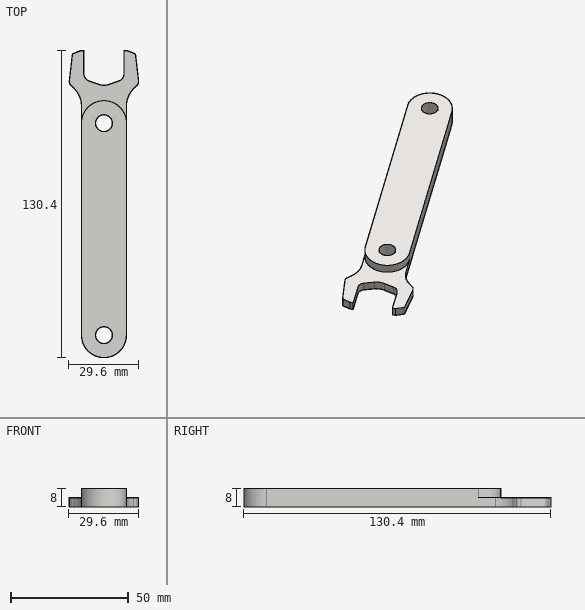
import cadquery as cq
import math

overall_length = 130.4
handle_width = 19.2
handle_radius = handle_width / 2
hole_spacing = 90.0
hole_diameter = 7.0
handle_height = 8.0

head_height = handle_height / 2
tip_y = overall_length - handle_radius
slot_half_width = 8.5
slot_corner_drop = 12.1
slot_floor_angle = 19.0
slot_corner_radius = 3.1
slot_apex_radius = 6.5
tip_flat_half_width = 9.9
tip_outer_half_width = 13.4
tip_outer_drop = 1.4
tip_radius = 1.0
shoulder_half_width = 14.9
shoulder_drop = 14.0
shoulder_radius = 2.3
neck_drop = shoulder_drop + shoulder_half_width - handle_radius
neck_radius = 10.4


def make_handle():
    bar = cq.Workplane("XY").rect(handle_width, hole_spacing).extrude(handle_height)
    bar = bar.translate((0, hole_spacing / 2, 0))
    ends = cq.Workplane("XY").pushPoints([(0, 0), (0, hole_spacing)])
    return bar.union(ends.circle(handle_radius).extrude(handle_height))


def round_corners(body, half_width, drop, radius):
    """Round the mirrored pair of vertical head edges at the given position."""
    tolerance = 0.01
    y = tip_y - drop
    box = cq.selectors.BoxSelector
    for x in {half_width, -half_width}:
        low = (x - tolerance, y - tolerance, 0)
        high = (x + tolerance, y + tolerance, head_height)
        body = body.edges("|Z").edges(box(low, high)).fillet(radius)
    return body


def make_head():
    apex_drop = slot_corner_drop + slot_half_width * math.tan(math.radians(slot_floor_angle))
    right_side = [
        (0, apex_drop),
        (slot_half_width, slot_corner_drop),
        (slot_half_width, 0),
        (tip_flat_half_width, 0),
        (tip_outer_half_width, tip_outer_drop),
        (shoulder_half_width, shoulder_drop),
        (handle_radius, neck_drop),
        (handle_radius, tip_y - hole_spacing),
    ]
    left_side = [(-x, drop) for x, drop in reversed(right_side[1:])]
    outline = [(x, tip_y - drop) for x, drop in right_side + left_side]
    head = cq.Workplane("XY").polyline(outline).close().extrude(head_height)
    head = round_corners(head, 0, apex_drop, slot_apex_radius)
    head = round_corners(head, slot_half_width, slot_corner_drop, slot_corner_radius)
    head = round_corners(head, tip_outer_half_width, tip_outer_drop, tip_radius)
    head = round_corners(head, shoulder_half_width, shoulder_drop, shoulder_radius)
    return round_corners(head, handle_radius, neck_drop, neck_radius)


def make_holes():
    centres = [(0, 0), (0, hole_spacing)]
    return cq.Workplane("XY").pushPoints(centres).circle(hole_diameter / 2).extrude(handle_height)


result = make_handle().union(make_head()).cut(make_holes())